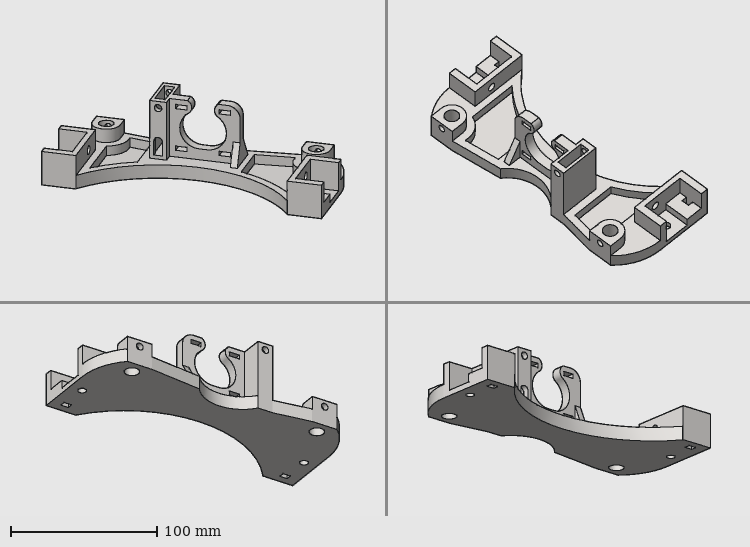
import cadquery as cq
import math

HALF_LENGTH = 100.0
DEPTH = 80.0
PLATE_HEIGHT = 10.0

FRONT_ARC_RADIUS = 94.8
FRONT_ARC_APEX_Y = 38.0
SCOOP_RADIUS = 29.7
SCOOP_HALF_WIDTH = 23.8
SADDLE_Y = 75.3

BLOCK_WIDTH = 24.5
BLOCK_DEPTH = 46.5
BLOCK_HEIGHT = 25.0
BLOCK_END_WALL = 6.0
BLOCK_SIDE_WALL = 4.2
BLOCK_FLOOR = 4.0
STEP_DEPTH = 20.0
STEP_HEIGHT = 10.0
BLOCK_HOLE_DIAMETER = 6.0
BLOCK_HOLE_Y = 30.2
FLOOR_HOLE_INSET = 10.0
WALL_HOLE_Z = 16.5
NOTCH_WIDTH = 6.0
NOTCH_DEPTH = 4.2
NOTCH_INSET = 11.2

POST_X = 75.0
POST_Y = 70.0
POST_RADIUS = 10.0
POST_HEIGHT = 20.0
POST_BORE_DIAMETER = 10.6
CROSS_HOLE_DIAMETER = 5.2
CROSS_HOLE_Z = 15.0

POCKET_FLOOR = 3.0
RIM = 6.0
POST_CLEARANCE_RADIUS = 16.0
POCKET_OUTER_X = 70.2
RIGHT_POCKET_INNER_X = 30.8

TOP_Z = 53.0
TOWER_LEFT = -36.0
TOWER_RIGHT = -23.9
TOWER_FRONT = 43.5
TOWER_CAVITY_WIDTH = 7.4
TOWER_CAVITY_DEPTH = 22.4
TOWER_OPENING_FLOOR = 12.7
TOWER_OPENING_WIDTH = 6.2
TOWER_OPENING_HEIGHT = 13.4
TOWER_HOLE_DIAMETER = 5.2
TOWER_HOLE_Z = 48.0

MOTOR_FRONT = 50.7
MOTOR_BACK = 58.4
MOTOR_RIGHT = 26.5
MOTOR_CORNER_RADIUS = 9.0
MOTOR_Z = 32.0
OPENING_RADIUS = 13.9
OPENING_HALF_FLAT = 2.75
LIP_X = 13.6
LIP_Z = 48.1
SCREW_OFFSET = 15.5
SCREW_SLOT_WIDTH = 8.0
SCREW_SLOT_HEIGHT = 3.1

GUSSET_WIDTH = 5.0
GUSSET_TOP_Z = 26.3
GUSSET_FRONT = 44.0
GUSSET_BACK = 69.0

BLOCK_INNER_X = HALF_LENGTH - BLOCK_WIDTH
FRONT_ARC_CENTER_Y = FRONT_ARC_APEX_Y - FRONT_ARC_RADIUS
POST_INNER_X = POST_X - POST_RADIUS
SHOULDER_END_X = POST_X + POST_RADIUS
SHOULDER_RUN = HALF_LENGTH - SHOULDER_END_X
SHOULDER_RISE = DEPTH - BLOCK_DEPTH
SHOULDER_RADIUS = (SHOULDER_RUN**2 + SHOULDER_RISE**2) / (2 * SHOULDER_RUN)
SHOULDER_CENTER_X = HALF_LENGTH - SHOULDER_RADIUS
SHOULDER_MID_ANGLE = math.asin(SHOULDER_RISE / SHOULDER_RADIUS) / 2
SHOULDER_MID_X = SHOULDER_CENTER_X + SHOULDER_RADIUS * math.cos(SHOULDER_MID_ANGLE)
SHOULDER_MID_Y = BLOCK_DEPTH + SHOULDER_RADIUS * math.sin(SHOULDER_MID_ANGLE)
SCOOP_BOTTOM_Y = SADDLE_Y - SCOOP_RADIUS + math.sqrt(SCOOP_RADIUS**2 - SCOOP_HALF_WIDTH**2)
TOWER_X = (TOWER_LEFT + TOWER_RIGHT) / 2
TOWER_Y = (TOWER_FRONT + SADDLE_Y) / 2


def box(x0, x1, y0, y1, z0, z1):
    """Box between two opposite corners."""
    return cq.Workplane("XY").box(x1 - x0, y1 - y0, z1 - z0, centered=False).translate((x0, y0, z0))


def upright(x, y, radius, z0, z1):
    """Vertical cylinder."""
    return cq.Workplane("XY", origin=(x, y, z0)).circle(radius).extrude(z1 - z0)


def along_y(x, z, radius, y0, y1):
    """Cylinder running in +Y from y0 to y1."""
    return cq.Workplane("XZ", origin=(x, y0, z)).circle(radius).extrude(y0 - y1)


def make_plate():
    front_corner_y = FRONT_ARC_CENTER_Y + math.sqrt(FRONT_ARC_RADIUS**2 - BLOCK_INNER_X**2)
    outline = (
        cq.Workplane("XY")
        .moveTo(-BLOCK_INNER_X, front_corner_y)
        .threePointArc((0, FRONT_ARC_APEX_Y), (BLOCK_INNER_X, front_corner_y))
        .lineTo(BLOCK_INNER_X, BLOCK_DEPTH)
        .lineTo(HALF_LENGTH, BLOCK_DEPTH)
        .threePointArc((SHOULDER_MID_X, SHOULDER_MID_Y), (SHOULDER_END_X, DEPTH))
        .lineTo(POST_INNER_X, DEPTH)
        .lineTo(SCOOP_HALF_WIDTH, SADDLE_Y)
        .threePointArc((0, SCOOP_BOTTOM_Y), (-SCOOP_HALF_WIDTH, SADDLE_Y))
        .lineTo(TOWER_LEFT, SADDLE_Y)
        .lineTo(-POST_INNER_X, DEPTH)
        .lineTo(-SHOULDER_END_X, DEPTH)
        .threePointArc((-SHOULDER_MID_X, SHOULDER_MID_Y), (-HALF_LENGTH, BLOCK_DEPTH))
        .lineTo(-BLOCK_INNER_X, BLOCK_DEPTH)
        .close()
    )
    return outline.extrude(PLATE_HEIGHT)


def make_pocket(side, inner_x, saddle_x):
    """Pocket bounded by the sloping back edge, the front arc and the clearance round the post."""
    slope = (DEPTH - SADDLE_Y) / (POST_INNER_X - saddle_x)

    def back_y(x):
        return SADDLE_Y + slope * (x - saddle_x) - RIM

    corners = [
        (side * inner_x, 0),
        (side * inner_x, back_y(inner_x)),
        (side * POCKET_OUTER_X, back_y(POCKET_OUTER_X)),
        (side * POCKET_OUTER_X, 0),
    ]
    depth = PLATE_HEIGHT - POCKET_FLOOR
    pocket = cq.Workplane("XY", origin=(0, 0, POCKET_FLOOR)).polyline(corners).close().extrude(depth)
    front_rim = upright(0, FRONT_ARC_CENTER_Y, FRONT_ARC_RADIUS + RIM, 0, PLATE_HEIGHT)
    post_x = side * POST_X
    clearance = upright(post_x, POST_Y, POST_CLEARANCE_RADIUS, 0, PLATE_HEIGHT)
    clearance_back = box(
        post_x - POST_CLEARANCE_RADIUS, post_x + POST_CLEARANCE_RADIUS, POST_Y, DEPTH, 0, PLATE_HEIGHT
    )
    return pocket.cut(front_rim).cut(clearance).cut(clearance_back)


def add_post(body, side):
    x = side * POST_X
    post = upright(x, POST_Y, POST_RADIUS, 0, POST_HEIGHT)
    square_back = box(x - POST_RADIUS, x + POST_RADIUS, POST_Y, DEPTH, PLATE_HEIGHT, POST_HEIGHT)
    bore = upright(x, POST_Y, POST_BORE_DIAMETER / 2, 0, POST_HEIGHT)
    cross_hole = along_y(x, CROSS_HOLE_Z, CROSS_HOLE_DIAMETER / 2, POST_Y, DEPTH)
    return body.union(post).union(square_back).cut(bore).cut(cross_hole)


def make_block():
    """Left corner block, open at the top and on its outer side."""
    block = box(-HALF_LENGTH, -BLOCK_INNER_X, 0, BLOCK_DEPTH, 0, BLOCK_HEIGHT)
    room_x = -BLOCK_INNER_X - BLOCK_SIDE_WALL
    room_back = BLOCK_DEPTH - BLOCK_END_WALL
    low_room = box(-HALF_LENGTH, room_x, STEP_DEPTH, room_back, BLOCK_FLOOR, BLOCK_HEIGHT)
    high_room = box(-HALF_LENGTH, room_x, BLOCK_END_WALL, STEP_DEPTH, STEP_HEIGHT, BLOCK_HEIGHT)
    hole_radius = BLOCK_HOLE_DIAMETER / 2
    floor_hole = upright(-HALF_LENGTH + FLOOR_HOLE_INSET, BLOCK_HOLE_Y, hole_radius, 0, BLOCK_FLOOR)
    wall_hole = (
        cq.Workplane("YZ", origin=(room_x, BLOCK_HOLE_Y, WALL_HOLE_Z))
        .circle(hole_radius)
        .extrude(BLOCK_SIDE_WALL)
    )
    notch_x = -HALF_LENGTH + NOTCH_INSET
    notch = box(
        notch_x - NOTCH_WIDTH / 2,
        notch_x + NOTCH_WIDTH / 2,
        BLOCK_END_WALL,
        BLOCK_END_WALL + NOTCH_DEPTH,
        0,
        STEP_HEIGHT,
    )
    return block.cut(low_room).cut(high_room).cut(floor_hole).cut(wall_hole).cut(notch)


def make_motor_plate():
    plate = box(TOWER_RIGHT, MOTOR_RIGHT, MOTOR_FRONT, MOTOR_BACK, PLATE_HEIGHT, TOP_Z)
    plate = plate.edges("|Y and >X and >Z").fillet(MOTOR_CORNER_RADIUS)

    run = LIP_X - OPENING_HALF_FLAT
    rise = LIP_Z - MOTOR_Z
    spacing = math.hypot(run, rise)
    lip_radius = spacing - OPENING_RADIUS
    touch_x = OPENING_HALF_FLAT + OPENING_RADIUS * run / spacing
    touch_z = MOTOR_Z + OPENING_RADIUS * rise / spacing
    lip_top_x = LIP_X - math.sqrt(lip_radius**2 - (TOP_Z - LIP_Z) ** 2)
    lip_tip_x = LIP_X - lip_radius
    side_x = OPENING_HALF_FLAT + OPENING_RADIUS
    bottom_z = MOTOR_Z - OPENING_RADIUS
    opening = (
        cq.Workplane("XZ", origin=(0, MOTOR_FRONT, 0))
        .moveTo(-lip_top_x, TOP_Z)
        .threePointArc((-lip_tip_x, LIP_Z), (-touch_x, touch_z))
        .threePointArc((-side_x, MOTOR_Z), (-OPENING_HALF_FLAT, bottom_z))
        .lineTo(OPENING_HALF_FLAT, bottom_z)
        .threePointArc((side_x, MOTOR_Z), (touch_x, touch_z))
        .threePointArc((lip_tip_x, LIP_Z), (lip_top_x, TOP_Z))
        .close()
        .extrude(MOTOR_FRONT - MOTOR_BACK)
    )
    screw_slots = (
        cq.Workplane("XZ", origin=(0, MOTOR_FRONT, MOTOR_Z))
        .rect(2 * SCREW_OFFSET, 2 * SCREW_OFFSET, forConstruction=True)
        .vertices()
        .rect(SCREW_SLOT_WIDTH, SCREW_SLOT_HEIGHT)
        .extrude(MOTOR_FRONT - MOTOR_BACK)
    )
    return plate.cut(opening).cut(screw_slots)


def make_gusset(plate_y, foot_y):
    """Triangular brace from the motor plate face down to the base plate."""
    return (
        cq.Workplane("YZ", origin=(MOTOR_RIGHT - GUSSET_WIDTH, 0, 0))
        .polyline([(plate_y, PLATE_HEIGHT), (foot_y, PLATE_HEIGHT), (plate_y, GUSSET_TOP_Z)])
        .close()
        .extrude(GUSSET_WIDTH)
    )


def make_tower():
    tower = box(TOWER_LEFT, TOWER_RIGHT, TOWER_FRONT, SADDLE_Y, PLATE_HEIGHT, TOP_Z)
    cavity = box(
        TOWER_X - TOWER_CAVITY_WIDTH / 2,
        TOWER_X + TOWER_CAVITY_WIDTH / 2,
        TOWER_Y - TOWER_CAVITY_DEPTH / 2,
        TOWER_Y + TOWER_CAVITY_DEPTH / 2,
        TOWER_OPENING_FLOOR,
        TOP_Z,
    )
    top_hole = along_y(TOWER_X, TOWER_HOLE_Z, TOWER_HOLE_DIAMETER / 2, TOWER_FRONT, SADDLE_Y)
    half_width = TOWER_OPENING_WIDTH / 2
    arch_z = TOWER_OPENING_FLOOR + TOWER_OPENING_HEIGHT - half_width
    opening = box(
        TOWER_X - half_width, TOWER_X + half_width, TOWER_FRONT, TOWER_Y, TOWER_OPENING_FLOOR, arch_z
    )
    arch = along_y(TOWER_X, arch_z, half_width, TOWER_FRONT, TOWER_Y)
    return tower.cut(cavity).cut(top_hole).cut(opening).cut(arch)


body = make_plate()
body = body.cut(make_pocket(-1, -TOWER_LEFT + RIM, -TOWER_LEFT))
body = body.cut(make_pocket(1, RIGHT_POCKET_INNER_X, SCOOP_HALF_WIDTH))

for side in (-1, 1):
    body = add_post(body, side)

left_block = make_block()
body = body.union(left_block).union(left_block.mirror("YZ"))

body = body.union(make_motor_plate())
body = body.union(make_gusset(MOTOR_FRONT, GUSSET_FRONT))
body = body.union(make_gusset(MOTOR_BACK, GUSSET_BACK))
body = body.union(make_tower())

result = body